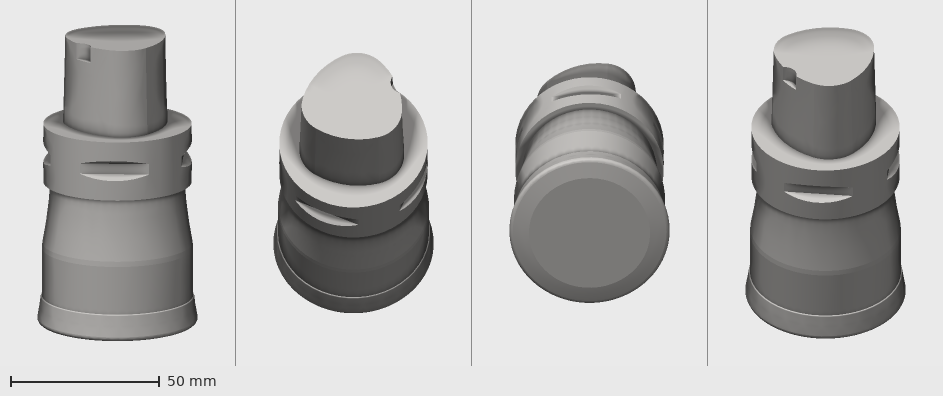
import cadquery as cq
import math

total_height = 100.0
flange_top = 70.0
flange_bottom = 49.7
band_top = 28.5
barrel_top = 26.7
cap_top = 10.1

flange_radius = 50.0 / 2
barrel_radius = 50.9 / 2
band_radius = 25.3
neck_radius = 22.6
neck_middle_radius = 23.6
neck_middle_height = (flange_bottom + band_top) / 2

lobe_reach = 18.7
flank_reach = 16.4
lobe_radius = 11.4
lobe_count = 3
shank_taper = 1 / 20
shank_inset = (total_height - flange_top) * shank_taper / 2

notch_radius = 4.4
notch_depth = 5.5
notch_reach = 13.7

slot_count = 4
slot_height = 60.0
slot_floor_distance = 22.1
slot_floor_width = 3.6
slot_wall_angle = 30.0
slot_length = 2 * flange_radius
slot_overcut = 1.0

cap_top_radius = 25.8
cap_corner_radius = 27.2
cap_corner_height = 1.2
cap_face_radius = 20.4
cap_top_round = 0.4
cap_corner_round = 1.4


def polar(radius, angle):
    """Point at an angle in degrees, measured from +Y towards +X."""
    turn = math.radians(angle)
    return (radius * math.sin(turn), radius * math.cos(turn))


def shank_outline(height, inset):
    """Closed three-lobed outline, offset inwards by inset."""
    lobe_centre = lobe_reach - lobe_radius
    reach_gap = flank_reach - lobe_radius
    flank_centre = (lobe_centre**2 - reach_gap**2) / (2 * reach_gap - lobe_centre)
    flank_radius = flank_reach + flank_centre
    half_sweep = math.atan2(
        lobe_centre * math.sin(math.pi / lobe_count),
        flank_centre + lobe_centre * math.cos(math.pi / lobe_count),
    )
    seam_side = (flank_radius - inset) * math.sin(half_sweep)
    seam_out = (flank_radius - inset) * math.cos(half_sweep) - flank_centre
    seam_radius = math.hypot(seam_side, seam_out)
    seam_angle = math.degrees(math.atan2(seam_side, seam_out))

    pitch = 360 / lobe_count
    first_flank = pitch / 2
    outline = cq.Workplane("XY").workplane(offset=height)
    outline = outline.moveTo(*polar(seam_radius, first_flank - seam_angle))
    for index in range(lobe_count):
        flank = first_flank + index * pitch
        outline = outline.threePointArc(
            polar(flank_reach - inset, flank), polar(seam_radius, flank + seam_angle)
        )
        outline = outline.threePointArc(
            polar(lobe_reach - inset, flank + pitch / 2),
            polar(seam_radius, flank + pitch - seam_angle),
        )
    return outline.close().val()


def make_shank():
    wires = [shank_outline(flange_top, 0), shank_outline(total_height, shank_inset)]
    shank = cq.Workplane(cq.Solid.makeLoft(wires, True))
    notch = (
        cq.Workplane("XY")
        .workplane(offset=total_height - notch_depth)
        .center(0, -notch_reach - notch_radius)
        .circle(notch_radius)
        .extrude(notch_depth)
    )
    return shank.cut(notch)


def make_gripper_slot(angle):
    """Cutter for one straight slot with flaring side walls."""
    cut_depth = flange_radius - slot_floor_distance + slot_overcut
    half_floor = slot_floor_width / 2
    half_mouth = half_floor + cut_depth * math.tan(math.radians(slot_wall_angle))
    return (
        cq.Workplane("XZ")
        .moveTo(slot_floor_distance, slot_height - half_floor)
        .lineTo(slot_floor_distance + cut_depth, slot_height - half_mouth)
        .lineTo(slot_floor_distance + cut_depth, slot_height + half_mouth)
        .lineTo(slot_floor_distance, slot_height + half_floor)
        .close()
        .extrude(slot_length / 2, both=True)
        .rotate((0, 0, 0), (0, 0, 1), angle)
    )


def make_holder():
    body = (
        cq.Workplane("XZ")
        .moveTo(0, cap_top)
        .lineTo(barrel_radius, cap_top)
        .lineTo(barrel_radius, barrel_top)
        .lineTo(band_radius, band_top)
        .threePointArc((neck_middle_radius, neck_middle_height), (neck_radius, flange_bottom))
        .lineTo(flange_radius, flange_bottom)
        .lineTo(flange_radius, flange_top)
        .lineTo(0, flange_top)
        .close()
        .revolve(360, (0, 0, 0), (0, 1, 0))
    )
    for index in range(slot_count):
        body = body.cut(make_gripper_slot((index + 0.5) * 360 / slot_count))
    return body.union(make_shank())


def make_end_cap():
    cap = (
        cq.Workplane("XZ")
        .lineTo(cap_face_radius, 0)
        .lineTo(cap_corner_radius, cap_corner_height)
        .lineTo(cap_top_radius, cap_top)
        .lineTo(0, cap_top)
        .close()
        .revolve(360, (0, 0, 0), (0, 1, 0))
    )
    cap = cap.faces(">Z").edges().fillet(cap_top_round)
    widest_edge = cq.selectors.RadiusNthSelector(-1)
    return cap.edges(widest_edge).fillet(cap_corner_round)


holder = make_holder()
end_cap = make_end_cap()
result = cq.Compound.makeCompound([holder.val(), end_cap.val()])